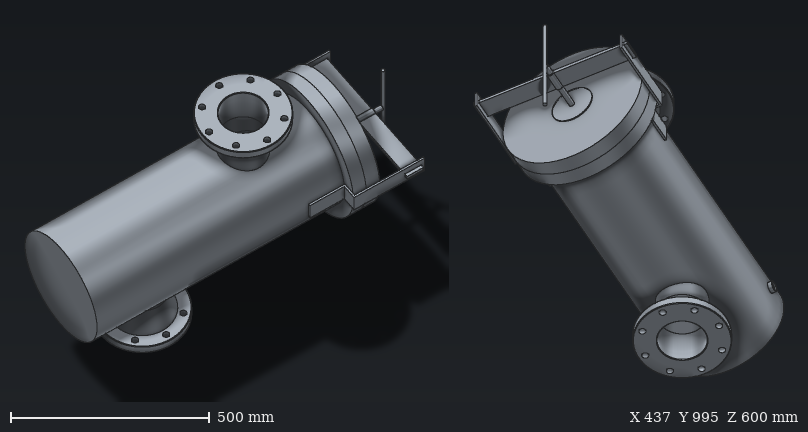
import cadquery as cq
shell_diameter = 316.0
shell_wall = 8.0
end_plate_thickness = 8.0
rim_diameter = 395.0
rim_bottom_y = 760.0
rim_thickness = 40.0
rim_top_y = rim_bottom_y + rim_thickness

lid_thickness = 42.0
lid_top_y = rim_top_y + lid_thickness
pad_diameter = 113.0
pad_thickness = 3.0
pad_top_y = lid_top_y + pad_thickness

inlet_y = 560.0
outlet_y = 250.0
pipe_diameter = 135.0
bore_diameter = 126.0
pipe_end_z = 200.0
nozzle_face_spacing = 600.0
nozzle_end_z = nozzle_face_spacing / 2
flange_diameter = 250.0
flange_thickness = 26.0
flange_edge_chamfer = 2.0
flange_back_z = nozzle_end_z - flange_thickness
neck_large_diameter = 179.0
neck_sag = 1.0
bolt_circle_diameter = 210.0
bolt_hole_diameter = 18.0
bolt_count = 8

drain_y = 75.0
drain_diameter = 30.0
drain_bore_diameter = 17.0
drain_chamfer = 3.0
drain_end_x = -169.0

bracket_thickness = 6.0
bracket_width = 51.0
bracket_outer_x = 209.0
bracket_foot_gap = 2.0
bracket_foot_y = 649.0
bracket_end_y = 971.0

yoke_length = 437.0
yoke_width = 51.0
yoke_thickness = 10.0
yoke_bottom_y = 910.0
boss_diameter = 22.0

spindle_diameter = 15.0
handle_diameter = 10.0
handle_length = 303.0
handle_top_y = 995.0
spindle_end_y = 986.0


def cylinder_y(diameter, y_start, y_end):
    """Cylinder on the Y axis between two Y levels."""
    start = cq.Workplane("XZ", origin=(0, y_start, 0))
    return start.circle(diameter / 2).extrude(y_start - y_end)


def cylinder_z(diameter, y, z_start, z_end):
    """Cylinder parallel to Z at X = 0 between two Z levels."""
    start = cq.Workplane("XY", origin=(0, y, z_start))
    return start.circle(diameter / 2).extrude(z_end - z_start)


def cylinder_x(diameter, y, x_start, x_end):
    """Cylinder parallel to X at Z = 0 between two X levels."""
    start = cq.Workplane("YZ", origin=(x_start, y, 0))
    return start.circle(diameter / 2).extrude(x_end - x_start)


def make_drain_bore():
    """Bore of the drain coupling, chamfered at its open end."""
    bore_radius = drain_bore_diameter / 2
    mouth_radius = bore_radius + drain_chamfer
    profile = (
        cq.Workplane("XY", origin=(0, drain_y, 0))
        .moveTo(drain_end_x, 0)
        .lineTo(drain_end_x, mouth_radius)
        .lineTo(drain_end_x + drain_chamfer, bore_radius)
        .lineTo(0, bore_radius)
        .lineTo(0, 0)
        .close()
    )
    return profile.revolve(360, (0, 0), (1, 0))


def make_vessel():
    """Hollow shell with rim flange, two pipe stubs and a drain coupling."""
    cavity = cylinder_y(shell_diameter - 2 * shell_wall, end_plate_thickness, rim_top_y)
    vessel = cylinder_y(shell_diameter, 0, rim_top_y)
    vessel = vessel.union(cylinder_y(rim_diameter, rim_bottom_y, rim_top_y))
    vessel = vessel.union(cylinder_z(pipe_diameter, inlet_y, 0, pipe_end_z))
    vessel = vessel.union(cylinder_z(pipe_diameter, outlet_y, -pipe_end_z, 0))
    vessel = vessel.union(cylinder_x(drain_diameter, drain_y, drain_end_x, 0))
    vessel = vessel.cut(cavity)
    vessel = vessel.cut(cylinder_z(bore_diameter, inlet_y, 0, pipe_end_z))
    vessel = vessel.cut(cylinder_z(bore_diameter, outlet_y, -pipe_end_z, 0))
    return vessel.cut(make_drain_bore())


def make_lid():
    """Flat lid with a raised pad under the spindle."""
    lid = cylinder_y(rim_diameter, rim_top_y, lid_top_y)
    return lid.union(cylinder_y(pad_diameter, lid_top_y, pad_top_y))


def make_nozzle_flange(y, turn):
    """Welding-neck flange at a Y level; a turn of 0 faces it to +Z and 180 to -Z."""
    bore_radius = bore_diameter / 2
    pipe_radius = pipe_diameter / 2
    neck_radius = neck_large_diameter / 2
    flange_radius = flange_diameter / 2
    neck_middle = ((pipe_radius + neck_radius) / 2 - neck_sag, (pipe_end_z + flange_back_z) / 2)
    chamfer = flange_edge_chamfer
    profile = (
        cq.Workplane("XZ")
        .moveTo(bore_radius, pipe_end_z)
        .lineTo(pipe_radius, pipe_end_z)
        .threePointArc(neck_middle, (neck_radius, flange_back_z))
        .lineTo(flange_radius - chamfer, flange_back_z)
        .lineTo(flange_radius, flange_back_z + chamfer)
        .lineTo(flange_radius, nozzle_end_z - chamfer)
        .lineTo(flange_radius - chamfer, nozzle_end_z)
        .lineTo(bore_radius + chamfer, nozzle_end_z)
        .lineTo(bore_radius, nozzle_end_z - chamfer)
        .close()
    )
    bolt_holes = (
        cq.Workplane("XY", origin=(0, 0, flange_back_z))
        .polarArray(bolt_circle_diameter / 2, 0, 360, bolt_count)
        .circle(bolt_hole_diameter / 2)
        .extrude(flange_thickness)
    )
    flange = profile.revolve(360, (0, 0), (0, 1)).cut(bolt_holes)
    return flange.rotate((0, 0, 0), (0, 1, 0), turn).translate((0, y, 0))


def make_yoke_bar():
    """Plain flat bar in its place through both brackets."""
    bar = cq.Workplane("XY").box(yoke_length, yoke_width, yoke_thickness)
    return bar.translate((0, yoke_bottom_y + yoke_width / 2, 0))


def make_yoke():
    """Flat bar with a central boss bored for the spindle."""
    yoke_top_y = yoke_bottom_y + yoke_width
    yoke = make_yoke_bar().union(cylinder_y(boss_diameter, yoke_bottom_y, yoke_top_y))
    return yoke.cut(cylinder_y(spindle_diameter, yoke_bottom_y, yoke_top_y))


def make_bracket(turn):
    """Cranked strap slotted for the yoke; a turn of 0 puts it on the +X side and 180 on -X."""
    foot_inner_x = shell_diameter / 2 + bracket_foot_gap
    foot_outer_x = foot_inner_x + bracket_thickness
    arm_inner_x = bracket_outer_x - bracket_thickness
    step_y = rim_bottom_y - bracket_thickness
    outline = [
        (foot_inner_x, bracket_foot_y),
        (foot_outer_x, bracket_foot_y),
        (foot_outer_x, step_y),
        (bracket_outer_x, step_y),
        (bracket_outer_x, bracket_end_y),
        (arm_inner_x, bracket_end_y),
        (arm_inner_x, rim_bottom_y),
        (foot_inner_x, rim_bottom_y),
    ]
    strap = cq.Workplane("XY").polyline(outline).close().extrude(bracket_width / 2, both=True)
    return strap.cut(make_yoke_bar()).rotate((0, 0, 0), (0, 1, 0), turn)


def make_spindle():
    """Spindle standing on the lid pad, with a round cross handle at its end."""
    handle_y = handle_top_y - handle_diameter / 2
    handle = cylinder_z(handle_diameter, handle_y, -handle_length / 2, handle_length / 2)
    return cylinder_y(spindle_diameter, pad_top_y, spindle_end_y).union(handle)


vessel = make_vessel()
lid = make_lid()
nozzle_flanges = [make_nozzle_flange(y, turn) for y, turn in [(inlet_y, 0), (outlet_y, 180)]]
brackets = [make_bracket(turn) for turn in (0, 180)]
yoke = make_yoke()
spindle = make_spindle()

result = cq.Compound.makeCompound([
    vessel.val(),
    lid.val(),
    *[flange.val() for flange in nozzle_flanges],
    *[bracket.val() for bracket in brackets],
    yoke.val(),
    spindle.val(),
])